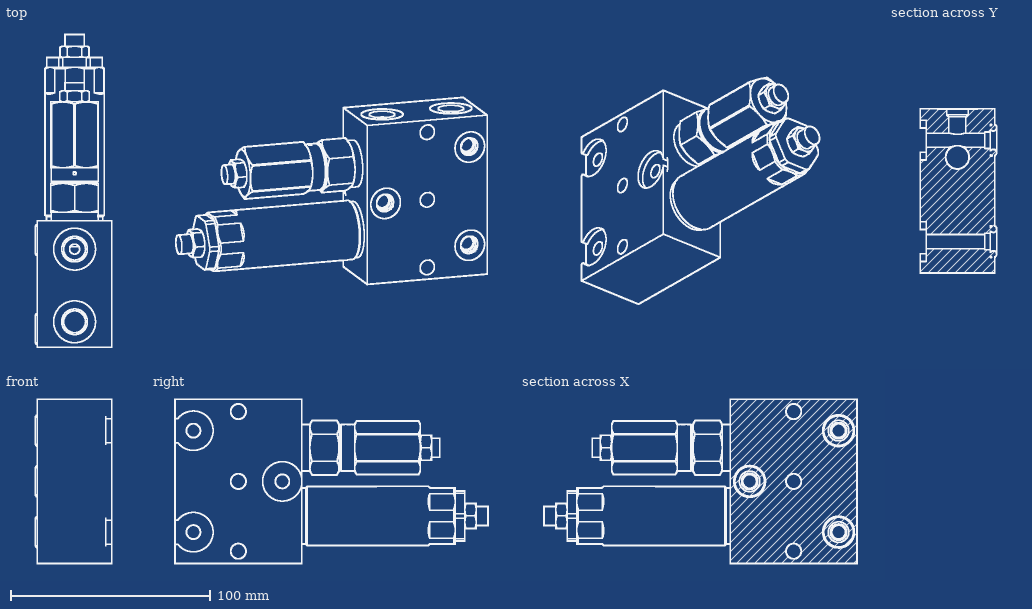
import cadquery as cq
import math

BLOCK_WIDTH = 37.6
BLOCK_LENGTH = 63.7
BLOCK_HEIGHT = 82.5
MID_LENGTH = BLOCK_LENGTH / 2
MID_HEIGHT = BLOCK_HEIGHT / 2

VALVE_X = 18.9
CHECK_Z = 58.2
RELIEF_Z = 23.9

BOLT_RADIUS = 3.8
BOLT_SPACING = 35.0

SEAL_BORE_RADIUS = 3.5
SEAL_TUBE_RADIUS = 1.7
SEAL_MOUTH_RADIUS = 4.1
SEAL_MOUTH_DEPTH = 5.0
SEAL_RING_RADIUS = 6.3
SEAL_PROTRUSION = 1.0
SEAL_RECESS_RADIUS = 7.9
SEAL_SEATING = 0.2
SEAL_FRONT_Y = 9.3
SEAL_BACK_Y = 54.0
SEAL_SPACING = 25.5
SEAL_CENTRES = [
    (SEAL_FRONT_Y, MID_HEIGHT - SEAL_SPACING),
    (SEAL_FRONT_Y, MID_HEIGHT + SEAL_SPACING),
    (SEAL_BACK_Y, MID_HEIGHT),
]
COUNTERBORE_RADIUS = 9.9
COUNTERBORE_DEPTH = 3.0
COUNTERBORE_LIP_RADIUS = 1.0

PORT_FRONT_Y = 12.9
PORT_BACK_Y = 49.4
SPOTFACE_RADIUS = 10.5
SPOTFACE_DEPTH = 0.2
PORT_MOUTH_RADIUS = 6.5
PORT_MOUTH_DEPTH = 3.1
PORT_RADIUS = 5.5
PORT_BACK_DEPTH = 14.2
DRILL_POINT_ANGLE = 118
PASSAGE_RADIUS = 2.5
GALLERY_RADIUS = 5.8
GALLERY_START_Y = 6.3
GALLERY_END_Y = 50.6

SCREW_RADIUS = 4.9
LOCK_NUT_FLATS = 12.7
LOCK_NUT_LENGTH = 5.7
HEX_SIDES = 6
HEX_CHAMFER_ANGLE = 30
HEX_CORNER_RATIO = 1 / math.cos(math.pi / HEX_SIDES)

CHECK_COLLAR_RADIUS = 11.8
CHECK_FLATS = 23.7
CHECK_BODY_CORNER_RADIUS = 13.5
CHECK_HEX_START = 67.8
CHECK_HEX_END = 82.4
CHECK_COLLAR_START = 83.0
CHECK_COLLAR_END = 90.3
CHECK_COLLAR_CHAMFER = 0.5
CHECK_BODY_END = 123.3
CHECK_NECK_RADIUS = 11.2
CHECK_TIP = 133.0
BLEED_RADIUS = 0.8
BLEED_DEPTH = 1.5
BLEED_Y = 87.5

RELIEF_NECK_RADIUS = 14.2
BARREL_RADIUS = 15.0
BARREL_START = 65.7
BARREL_END = 140.7
BARREL_CHAMFER = 0.8
BARREL_FLATS = 28.3
FLAT_START = 128.0
CAP_FLATS = 25.3
CAP_CORNER_RADIUS = 14.0
CAP_END = 145.6
RELIEF_TIP = 157.2


def rod_x(radius, start, end, y, z):
    """Cylinder along X."""
    return cq.Workplane("YZ", origin=(start, y, z)).circle(radius).extrude(end - start)


def rod_y(radius, start, end, z):
    """Cylinder along Y on the plane of the valve axes."""
    return cq.Workplane(valve_plane(start, z)).circle(radius).extrude(end - start)


def rod_z(radius, top, depth, y):
    """Cylinder reaching down from a given height on the plane of the valve axes."""
    return cq.Workplane("XY", origin=(VALVE_X, y, top - depth)).circle(radius).extrude(depth)


def valve_plane(y, z, corner_direction=(1, 0, 0)):
    """Plane square to a valve axis, with its local x along the given direction."""
    return cq.Plane(origin=(VALVE_X, y, z), xDir=corner_direction, normal=(0, 1, 0))


def hexagon(flats, start, end, z, corner_direction):
    """Plain hexagonal prism along Y with a corner in the given direction."""
    corner_diameter = flats * HEX_CORNER_RATIO
    plane = valve_plane(start, z, corner_direction)
    return cq.Workplane(plane).polygon(HEX_SIDES, corner_diameter).extrude(end - start)


def chamfered_hexagon(flats, start, end, z, corner_direction, corner_radius=None):
    """Hexagon along Y whose corners are turned down conically at both ends."""
    face_radius = flats / 2
    if corner_radius is None:
        corner_radius = face_radius * HEX_CORNER_RATIO
    drop = (corner_radius - face_radius) * math.tan(math.radians(HEX_CHAMFER_ANGLE))
    turned = (
        rod_y(corner_radius, start, end, z)
        .faces("<Y or >Y")
        .chamfer(drop, corner_radius - face_radius)
    )
    return hexagon(flats, start, end, z, corner_direction).intersect(turned)


def screw_and_lock_nut(start, tip, z):
    """Adjusting screw with its lock nut, standing on the end of a valve."""
    nut_end = start + LOCK_NUT_LENGTH
    nut = chamfered_hexagon(LOCK_NUT_FLATS, start, nut_end, z, (1, 0, 0))
    return nut.union(rod_y(SCREW_RADIUS, nut_end, tip, z))


def seal_ring(y, z):
    """Ring lying in its recess and standing proud of the -X face."""
    centre_depth = SEAL_TUBE_RADIUS - SEAL_PROTRUSION
    torus = cq.Solid.makeTorus(
        SEAL_RING_RADIUS, SEAL_TUBE_RADIUS, cq.Vector(centre_depth, y, z), cq.Vector(1, 0, 0)
    )
    return cq.Workplane(torus)


def cut_flange_port(block, y, z):
    """Stepped through bore, ring recess on the -X face and counterbore on the +X face."""
    recess_depth = 2 * SEAL_TUBE_RADIUS - SEAL_PROTRUSION - SEAL_SEATING
    counterbore_start = BLOCK_WIDTH - COUNTERBORE_DEPTH
    block = block.cut(rod_x(SEAL_BORE_RADIUS, 0, BLOCK_WIDTH, y, z))
    block = block.cut(rod_x(SEAL_MOUTH_RADIUS, 0, SEAL_MOUTH_DEPTH, y, z))
    block = block.cut(rod_x(SEAL_RECESS_RADIUS, 0, recess_depth, y, z))
    return block.cut(rod_x(COUNTERBORE_RADIUS, counterbore_start, BLOCK_WIDTH, y, z))


def round_counterbore_mouths(block):
    """Round the corners where the counterbores break out through the front face."""
    margin = 0.2
    corner_zone = cq.selectors.BoxSelector(
        (BLOCK_WIDTH - COUNTERBORE_DEPTH, -margin, margin),
        (BLOCK_WIDTH - margin, margin, BLOCK_HEIGHT - margin),
    )
    return block.edges("|X").edges(corner_zone).fillet(COUNTERBORE_LIP_RADIUS)


def port_cutter(y, depth):
    """Spotface, wide mouth with a conical end, and the threaded bore below it."""
    step = PORT_MOUTH_RADIUS - PORT_RADIUS
    mouth = rod_z(PORT_MOUTH_RADIUS, BLOCK_HEIGHT, PORT_MOUTH_DEPTH + step, y)
    mouth = mouth.faces("<Z").chamfer(step)
    spotface = rod_z(SPOTFACE_RADIUS, BLOCK_HEIGHT, SPOTFACE_DEPTH, y)
    return mouth.union(spotface).union(rod_z(PORT_RADIUS, BLOCK_HEIGHT, depth, y))


def drill_point(y, depth):
    """Conical end of a bore of the port radius."""
    height = PORT_RADIUS / math.tan(math.radians(DRILL_POINT_ANGLE / 2))
    cone = cq.Solid.makeCone(
        PORT_RADIUS, 0, height, cq.Vector(VALVE_X, y, BLOCK_HEIGHT - depth), cq.Vector(0, 0, -1)
    )
    return cq.Workplane(cone)


def make_block():
    block = cq.Workplane("XY").box(BLOCK_WIDTH, BLOCK_LENGTH, BLOCK_HEIGHT, centered=False)

    for offset in (-BOLT_SPACING, 0, BOLT_SPACING):
        block = block.cut(rod_x(BOLT_RADIUS, 0, BLOCK_WIDTH, MID_LENGTH, MID_HEIGHT + offset))

    for y, z in SEAL_CENTRES:
        block = cut_flange_port(block, y, z)
    block = round_counterbore_mouths(block)
    for y, z in SEAL_CENTRES:
        block = block.union(seal_ring(y, z))

    gallery_depth = BLOCK_HEIGHT - CHECK_Z
    block = block.cut(port_cutter(PORT_FRONT_Y, gallery_depth))
    block = block.cut(port_cutter(PORT_BACK_Y, PORT_BACK_DEPTH))
    block = block.cut(drill_point(PORT_BACK_Y, PORT_BACK_DEPTH))
    block = block.cut(rod_z(PASSAGE_RADIUS, BLOCK_HEIGHT, gallery_depth, PORT_BACK_Y))
    return block.cut(rod_y(GALLERY_RADIUS, GALLERY_START_Y, GALLERY_END_Y, CHECK_Z))


def make_check_valve():
    up = (0, 0, 1)
    valve = rod_y(CHECK_COLLAR_RADIUS, BLOCK_LENGTH, CHECK_HEX_START, CHECK_Z)
    valve = valve.union(chamfered_hexagon(CHECK_FLATS, CHECK_HEX_START, CHECK_HEX_END, CHECK_Z, up))

    valve = valve.union(rod_y(CHECK_NECK_RADIUS, CHECK_HEX_END, CHECK_COLLAR_START, CHECK_Z))
    collar = rod_y(CHECK_COLLAR_RADIUS, CHECK_COLLAR_START, CHECK_COLLAR_END, CHECK_Z)
    collar = collar.faces("<Y").chamfer(CHECK_COLLAR_CHAMFER)
    collar_top = CHECK_Z + CHECK_COLLAR_RADIUS
    valve = valve.union(collar).cut(rod_z(BLEED_RADIUS, collar_top, BLEED_DEPTH, BLEED_Y))

    body = chamfered_hexagon(
        CHECK_FLATS, CHECK_COLLAR_END, CHECK_BODY_END, CHECK_Z, up, CHECK_BODY_CORNER_RADIUS
    )
    return valve.union(body).union(screw_and_lock_nut(CHECK_BODY_END, CHECK_TIP, CHECK_Z))


def barrel_flat_cutter():
    """Wedge-ended block that mills one flat, with a 45 degree run-out, on the barrel top."""
    flat_z = RELIEF_Z + BARREL_FLATS / 2
    height = BARREL_RADIUS - BARREL_FLATS / 2
    return (
        cq.Workplane("YZ", origin=(VALVE_X, 0, flat_z))
        .moveTo(FLAT_START, 0)
        .lineTo(BARREL_END, 0)
        .lineTo(BARREL_END, height)
        .lineTo(FLAT_START - height, height)
        .close()
        .extrude(BARREL_RADIUS, both=True)
    )


def make_relief_valve():
    valve = rod_y(RELIEF_NECK_RADIUS, BLOCK_LENGTH, BARREL_START, RELIEF_Z)

    barrel = rod_y(BARREL_RADIUS, BARREL_START, BARREL_END, RELIEF_Z)
    barrel = barrel.faces("<Y or >Y").chamfer(BARREL_CHAMFER)
    axis_start = (VALVE_X, 0, RELIEF_Z)
    axis_end = (VALVE_X, 1, RELIEF_Z)
    for side in range(HEX_SIDES):
        barrel = barrel.cut(barrel_flat_cutter().rotate(axis_start, axis_end, side * 360 / HEX_SIDES))

    cap = hexagon(CAP_FLATS, BARREL_END, CAP_END, RELIEF_Z, (1, 0, 0))
    cap = cap.intersect(rod_y(CAP_CORNER_RADIUS, BARREL_END, CAP_END, RELIEF_Z))
    return valve.union(barrel).union(cap).union(screw_and_lock_nut(CAP_END, RELIEF_TIP, RELIEF_Z))


block = make_block()
check_valve = make_check_valve()
relief_valve = make_relief_valve()

result = cq.Compound.makeCompound([body.solids().val() for body in (block, check_valve, relief_valve)])